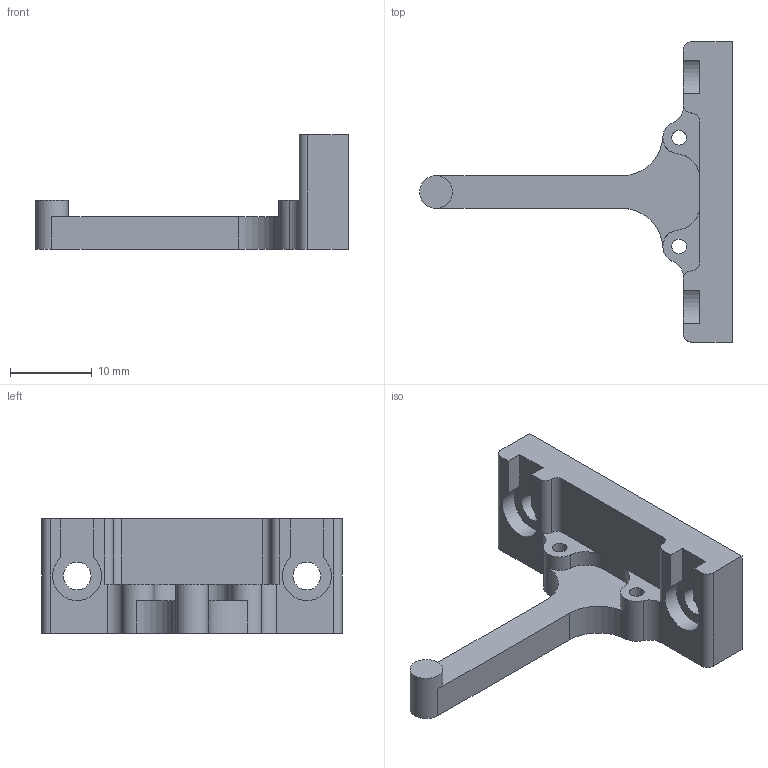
import cadquery as cq
import math


overall_length = 38.25
plate_width = 36.72
plate_height = 14.0
plate_thickness = 6.0
plate_corner_radius = 1.0

arm_width = 4.0
arm_height = 4.0
arm_fillet_radius = 5.0
pin_radius = arm_width / 2
pin_height = 6.0

lug_height = 6.0
lug_radius = 2.0
lug_hole_diameter = 1.8
lug_hole_spacing = 13.3
lug_hole_setback = 0.5
lug_outer_fillet_radius = 2.0
lug_inner_fillet_radius = 3.0

recess_depth = 2.0
recess_width = 19.32
recess_corner_radius = recess_depth / 2

screw_spacing = 28.1
screw_height = plate_height / 2
screw_hole_diameter = 3.4
counterbore_diameter = 6.0
counterbore_depth = 2.0
slot_width = 4.0

plate_back = overall_length - pin_radius
plate_front = plate_back - plate_thickness
recess_wall = plate_front + recess_depth
lug_x = plate_front - lug_hole_setback
lug_y = lug_hole_spacing / 2


def toward(start, end, distance):
    """Point at a given distance from start on the way to end."""
    ratio = distance / math.dist(start, end)
    return (start[0] + ratio * (end[0] - start[0]), start[1] + ratio * (end[1] - start[1]))


def fillet_center_at_wall(wall_x, radius, side):
    """Center of a fillet touching the +Y lug's circle and the wall X = wall_x.

    side is +1 for the fillet above the lug in Y and -1 for the one below.
    """
    center_x = wall_x - radius
    rise = math.sqrt((lug_radius + radius) ** 2 - (center_x - lug_x) ** 2)
    return (center_x, lug_y + side * rise)


def mirrored_pair(solid):
    return solid.union(solid.mirror("XZ"))


def make_plate():
    plate = cq.Workplane("XY").box(
        plate_thickness, plate_width, plate_height, centered=(False, True, False)
    )
    plate = plate.edges("|Z and <X").fillet(plate_corner_radius)
    return plate.translate((plate_front, 0, 0))


def make_upper_recess():
    """Recess above the lugs; each side is an S of two quarter arcs."""
    r = recess_corner_radius
    half = recess_width / 2
    mid_x = plate_front + r
    diagonal = r * math.sqrt(0.5)
    outline = (
        cq.Workplane("XY", origin=(0, 0, lug_height))
        .moveTo(plate_front, half + r)
        .threePointArc((mid_x - diagonal, half + r - diagonal), (mid_x, half))
        .threePointArc((mid_x + diagonal, half - r + diagonal), (recess_wall, half - r))
        .lineTo(recess_wall, r - half)
        .threePointArc((mid_x + diagonal, r - half - diagonal), (mid_x, -half))
        .threePointArc((mid_x - diagonal, diagonal - half - r), (plate_front, -half - r))
        .close()
    )
    return outline.extrude(plate_height - lug_height)


def make_lower_recess():
    """Continuation of the recess down to the arm's top face, between the lug axes."""
    return (
        cq.Workplane("XY", origin=(plate_front, 0, arm_height))
        .box(recess_depth, lug_hole_spacing, lug_height - arm_height, centered=(False, True, False))
    )


def make_lug():
    """Lug on the +Y side: a round boss blended into the plate and the recess wall."""
    lug_center = (lug_x, lug_y)
    outer = fillet_center_at_wall(plate_front, lug_outer_fillet_radius, 1)
    inner = fillet_center_at_wall(recess_wall, lug_inner_fillet_radius, -1)
    outer_end = (plate_front, outer[1])
    inner_end = (recess_wall, inner[1])
    outer_tangent = toward(lug_center, outer, lug_radius)
    inner_tangent = toward(lug_center, inner, lug_radius)
    outer_chord_middle = toward(outer_end, outer_tangent, math.dist(outer_end, outer_tangent) / 2)
    inner_chord_middle = toward(inner_end, inner_tangent, math.dist(inner_end, inner_tangent) / 2)
    return (
        cq.Workplane("XY")
        .moveTo(*outer_end)
        .threePointArc(toward(outer, outer_chord_middle, lug_outer_fillet_radius), outer_tangent)
        .threePointArc((lug_x - lug_radius, lug_y), inner_tangent)
        .threePointArc(toward(inner, inner_chord_middle, lug_inner_fillet_radius), inner_end)
        .lineTo(recess_wall, outer_end[1])
        .close()
        .extrude(lug_height)
    )


def make_half_arm():
    """+Y half of the arm, flaring through a fillet tangent to the lug."""
    half_width = arm_width / 2
    lug_center = (lug_x, lug_y)
    fillet_y = half_width + arm_fillet_radius
    reach = math.sqrt((lug_radius + arm_fillet_radius) ** 2 - (fillet_y - lug_y) ** 2)
    fillet_center = (lug_x - reach, fillet_y)
    fillet_start = (fillet_center[0], half_width)
    lug_tangent = toward(lug_center, fillet_center, lug_radius)
    chord_middle = toward(fillet_start, lug_tangent, math.dist(fillet_start, lug_tangent) / 2)
    return (
        cq.Workplane("XY")
        .moveTo(0, 0)
        .lineTo(0, half_width)
        .lineTo(*fillet_start)
        .threePointArc(toward(fillet_center, chord_middle, arm_fillet_radius), lug_tangent)
        .lineTo(*lug_center)
        .lineTo(recess_wall, lug_y)
        .lineTo(recess_wall, 0)
        .close()
        .extrude(arm_height)
    )


def make_screw_cut():
    """Screw hole, counterbore and top access slot on the +Y side."""
    screw_y = screw_spacing / 2
    front = cq.Workplane("YZ", origin=(plate_front, screw_y, screw_height))
    hole = front.circle(screw_hole_diameter / 2).extrude(plate_thickness)
    counterbore = front.circle(counterbore_diameter / 2).extrude(counterbore_depth)
    slot = cq.Workplane("XY", origin=(plate_front, screw_y, screw_height)).box(
        counterbore_depth, slot_width, plate_height - screw_height, centered=(False, True, False)
    )
    return hole.union(counterbore).union(slot)


def make_lug_hole():
    return cq.Workplane("XY").center(lug_x, lug_y).circle(lug_hole_diameter / 2).extrude(lug_height)


plate = make_plate().cut(make_upper_recess()).cut(make_lower_recess())
pin = cq.Workplane("XY").circle(pin_radius).extrude(pin_height)

result = plate.union(mirrored_pair(make_half_arm())).union(pin)
result = result.union(mirrored_pair(make_lug()))
for cutter in (make_screw_cut(), make_lug_hole()):
    result = result.cut(cutter).cut(cutter.mirror("XZ"))